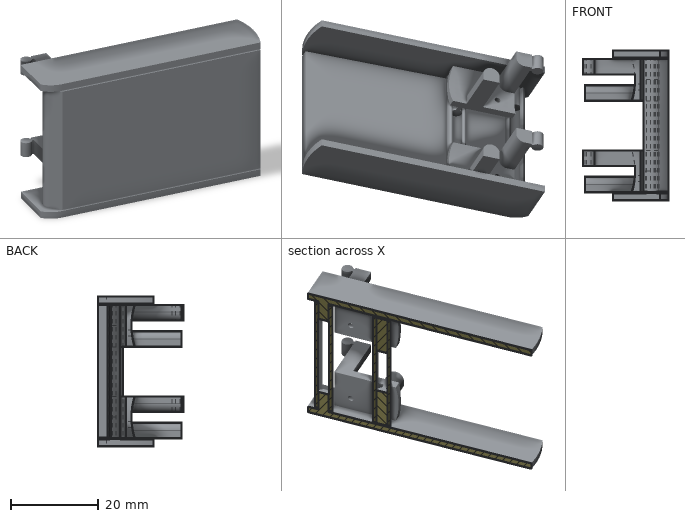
import cadquery as cq
import math

LENGTH = 55.85
TOTAL_HEIGHT = 34.4
PLATE_LEFT = 6.85
PLATE_RIGHT = 19.65
PLATE_THICKNESS = 1.7
PLATE_BULGE = 1.1
CORNER_RADIUS = 5.85
CORNER_START = 4.4
PIN_RADIUS = 1.35
PIN_LENGTH = 5.0

WALL_REAR_THICKNESS = 2.2
WALL_FRONT_THICKNESS = 3.4
WALL_GAP = 0.3
WALL_REAR = LENGTH - PLATE_BULGE
WALL_BOTTOM = PLATE_THICKNESS + WALL_GAP
WALL_HEIGHT = TOTAL_HEIGHT - 2 * WALL_BOTTOM
SOCKET_OUTER = 2.25
SOCKET_INNER = 1.35
SOCKET_X = 15.75
HINGE_Y = 3.9
CLIP_SOCKET_Y = 18.45
LIP_RADIUS = (SOCKET_OUTER - SOCKET_INNER) / 2
LIP_CENTER_RADIUS = (SOCKET_OUTER + SOCKET_INNER) / 2
LIP_ANGLE = 65.0
HINGE_LIP_ANGLE = 33.0

BRACKET_HEIGHT = 9.6
BRACKET_BOTTOM = 1.85
BRACKET_PITCH = 21.0
BRACKET_FRONT = 5.6
BRACKET_REAR = 20.9
BRACKET_BULGE = 0.7
BRACKET_LEFT = 11.2
BRACKET_RIGHT = 13.25
TIP_X = 0.45
ARM_WIDTH = 3.85
ARM_HEIGHT = 3.6
ARM_RADIUS = 1.95
POST_Y = 15.5
POST_WIDTH = 4.0
POST_SIDE_HEIGHT = 1.85
POST_HEIGHT = 3.6
NECK_WIDTH = 0.95
NECK_FILLET = 0.35
HOLE_DIAMETER = 1.4
HOLE_Y = 9.7
HOLE_HEIGHT = 3.2


def make_side_plate(bottom, pin_bottom):
    """Flat plate with a bowed rear end, a rounded front corner and a hinge pin."""
    middle = (PLATE_LEFT + PLATE_RIGHT) / 2
    corner_inset = CORNER_RADIUS - math.sqrt(CORNER_RADIUS**2 - CORNER_START**2)
    plate = (
        cq.Workplane("XY", origin=(0, 0, bottom))
        .moveTo(PLATE_LEFT, 0)
        .lineTo(PLATE_RIGHT - corner_inset, 0)
        .radiusArc((PLATE_RIGHT, CORNER_START), -CORNER_RADIUS)
        .lineTo(PLATE_RIGHT, WALL_REAR)
        .threePointArc((middle, LENGTH), (PLATE_LEFT, WALL_REAR))
        .close()
        .extrude(PLATE_THICKNESS)
    )
    pin = (
        cq.Workplane("XY", origin=(SOCKET_X, HINGE_Y, pin_bottom))
        .circle(PIN_RADIUS)
        .extrude(PIN_LENGTH)
    )
    return plate.union(pin)


def polar(radius, angle):
    """Point around a socket centre, with the angle measured from -X towards +Y."""
    turn = math.radians(angle)
    return (-radius * math.cos(turn), radius * math.sin(turn))


def make_socket(center_y, lower_angle, rounded_lower_lip):
    """C-shaped tube, open towards -X, with rounded lips."""
    plane = cq.Workplane("XY", origin=(SOCKET_X, center_y, WALL_BOTTOM))
    opening_reach = 2 * SOCKET_OUTER

    tube = plane.circle(SOCKET_OUTER).circle(SOCKET_INNER).extrude(WALL_HEIGHT)
    opening = (
        plane.polyline([
            (0, 0),
            polar(opening_reach, LIP_ANGLE),
            (-opening_reach, 0),
            polar(opening_reach, -lower_angle),
        ])
        .close()
        .extrude(WALL_HEIGHT)
    )
    socket = tube.cut(opening)

    lip_angles = [LIP_ANGLE]
    if rounded_lower_lip:
        lip_angles.append(-lower_angle)
    for angle in lip_angles:
        lip_center = polar(LIP_CENTER_RADIUS, angle)
        lip = plane.center(*lip_center).circle(LIP_RADIUS).extrude(WALL_HEIGHT)
        socket = socket.union(lip)
    return socket


def make_hinge_socket():
    """Socket with a flat radial lower lip and an upper lip trimmed at the mirrored slope."""
    socket = make_socket(HINGE_Y, HINGE_LIP_ANGLE, False)
    lip_x, lip_y = polar(LIP_CENTER_RADIUS, LIP_ANGLE)
    slope = math.tan(math.radians(HINGE_LIP_ANGLE))
    axis_y = lip_y + lip_x * slope
    reach = 2 * SOCKET_OUTER
    trim = (
        cq.Workplane("XY", origin=(SOCKET_X, HINGE_Y, WALL_BOTTOM))
        .polyline([(0, 0), (0, axis_y), (-reach, axis_y + reach * slope), (-reach, 0)])
        .close()
        .extrude(WALL_HEIGHT)
    )
    return socket.cut(trim)


def make_back_wall():
    """Tapered wall whose 45 degree front end runs tangent into the hinge socket."""
    tangent_offset = SOCKET_OUTER * math.sqrt(0.5)
    tangent_x = SOCKET_X + tangent_offset
    tangent_y = HINGE_Y - tangent_offset
    wall = (
        cq.Workplane("XY", origin=(0, 0, WALL_BOTTOM))
        .polyline([
            (PLATE_RIGHT - WALL_REAR_THICKNESS, WALL_REAR),
            (PLATE_RIGHT, WALL_REAR),
            (PLATE_RIGHT, tangent_y + PLATE_RIGHT - tangent_x),
            (tangent_x, tangent_y),
            (PLATE_RIGHT - WALL_FRONT_THICKNESS, HINGE_Y),
        ])
        .close()
        .extrude(WALL_HEIGHT)
    )
    bores = (
        cq.Workplane("XY", origin=(SOCKET_X, 0, WALL_BOTTOM))
        .pushPoints([(0, HINGE_Y), (0, CLIP_SOCKET_Y)])
        .circle(SOCKET_INNER)
        .extrude(WALL_HEIGHT)
    )
    clip_socket = make_socket(CLIP_SOCKET_Y, LIP_ANGLE, True)
    return wall.cut(bores).union(make_hinge_socket()).union(clip_socket)


def make_bracket_plate():
    """Plate with a hollow inner face and a bowed rear end, pierced by a small hole."""
    half = BRACKET_HEIGHT / 2
    hollow_profile = (
        cq.Workplane("XZ")
        .moveTo(BRACKET_RIGHT, 0)
        .lineTo(BRACKET_LEFT, 0)
        .threePointArc((BRACKET_LEFT + BRACKET_BULGE, half), (BRACKET_LEFT, BRACKET_HEIGHT))
        .lineTo(BRACKET_RIGHT, BRACKET_HEIGHT)
        .close()
        .extrude(-LENGTH)
    )
    side_profile = (
        cq.Workplane("YZ")
        .moveTo(BRACKET_FRONT, 0)
        .lineTo(BRACKET_REAR, 0)
        .threePointArc((BRACKET_REAR + BRACKET_BULGE, half), (BRACKET_REAR, BRACKET_HEIGHT))
        .lineTo(BRACKET_FRONT, BRACKET_HEIGHT)
        .close()
        .extrude(BRACKET_RIGHT)
    )
    hole = (
        cq.Workplane("YZ")
        .center(HOLE_Y, HOLE_HEIGHT)
        .circle(HOLE_DIAMETER / 2)
        .extrude(BRACKET_RIGHT)
    )
    return hollow_profile.intersect(side_profile).cut(hole)


def make_arm():
    """Arm along the top front edge, with a snap bead on a short neck at its end."""
    arm_bottom = BRACKET_HEIGHT - ARM_HEIGHT
    arm = cq.Workplane("XY").box(BRACKET_RIGHT - TIP_X, ARM_WIDTH, ARM_HEIGHT, centered=False)
    arm = arm.translate((TIP_X, BRACKET_FRONT, arm_bottom))
    arm = arm.edges("|X and >Y and <Z").fillet(ARM_RADIUS)
    bead_plane = cq.Workplane("XY", origin=(PIN_RADIUS, HINGE_Y, arm_bottom))
    bead = bead_plane.circle(PIN_RADIUS).extrude(ARM_HEIGHT)
    neck_length = BRACKET_FRONT - HINGE_Y
    neck = bead_plane.center(0, neck_length / 2).rect(NECK_WIDTH, neck_length).extrude(ARM_HEIGHT)
    return arm.union(neck).union(bead)


def make_post():
    """Round-topped post along the bottom edge, ending inside the bracket plate."""
    half = POST_WIDTH / 2
    return (
        cq.Workplane("YZ", origin=(TIP_X, POST_Y, 0))
        .moveTo(-half, 0)
        .lineTo(half, 0)
        .lineTo(half, POST_SIDE_HEIGHT)
        .threePointArc((0, POST_HEIGHT), (-half, POST_SIDE_HEIGHT))
        .close()
        .extrude(BRACKET_RIGHT - TIP_X)
    )


def make_socket_bead():
    """Full-height bead on a neck with rounded roots, snapped into the wall socket."""
    plane = cq.Workplane("XY", origin=(BRACKET_RIGHT, CLIP_SOCKET_Y, 0))
    bead_offset = SOCKET_X - BRACKET_RIGHT
    half = NECK_WIDTH / 2
    root = half + NECK_FILLET
    neck = (
        plane.moveTo(0, root)
        .radiusArc((NECK_FILLET, half), -NECK_FILLET)
        .lineTo(bead_offset, half)
        .lineTo(bead_offset, -half)
        .lineTo(NECK_FILLET, -half)
        .radiusArc((0, -root), -NECK_FILLET)
        .close()
        .extrude(BRACKET_HEIGHT)
    )
    bead = plane.center(bead_offset, 0).circle(PIN_RADIUS).extrude(BRACKET_HEIGHT)
    return neck.union(bead)


def make_bracket(bottom):
    bracket = make_bracket_plate().union(make_arm()).union(make_post()).union(make_socket_bead())
    return bracket.translate((0, 0, bottom))


bottom_plate = make_side_plate(0, PLATE_THICKNESS)
top_plate_bottom = TOTAL_HEIGHT - PLATE_THICKNESS
top_plate = make_side_plate(top_plate_bottom, top_plate_bottom - PIN_LENGTH)
back_wall = make_back_wall()
brackets = [make_bracket(BRACKET_BOTTOM + i * BRACKET_PITCH) for i in range(2)]

result = cq.Compound.makeCompound([
    bottom_plate.val(),
    top_plate.val(),
    back_wall.val(),
    *[bracket.val() for bracket in brackets],
])